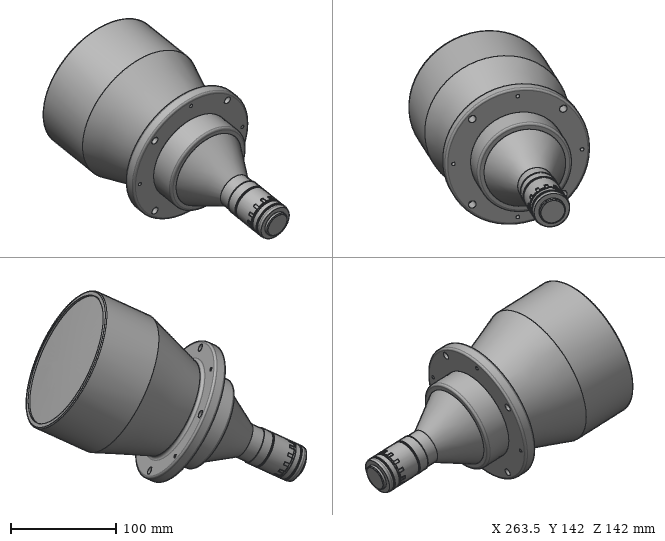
import cadquery as cq

total_length = 263.5

barrel_diameter = 142.0
barrel_radius = barrel_diameter / 2
barrel_length = 59.5
rim_chamfer = 1.0
shell_end = 119.5
shell_end_radius = 49.8

glass_radius = 66.2
glass_recess = 1.8
glass_rise = 1.5

flange_start = 123.0
flange_end = 135.5
flange_radius = barrel_radius
flange_edge_fillet = 2.0
flange_root_fillet = 3.0

bolt_circle_radius = 63.3
bolt_hole_diameter = 7.5
pin_hole_diameter = 3.5
holes_per_set = 4

hub_end = 161.3
hub_radius = 46.5
hub_edge_fillet = 2.5
rear_cone_radius = 40.0
rear_cone_end = 199.8

neck_radius = 17.5
tube_start = 212.2
tube_radius = 18.2
tube_taper_start = 257.5
tube_end = 260.2

mount_radius = 12.7
mount_chamfer_length = 0.8
mount_chamfer_drop = 1.0

grip_start = 241.0
grip_end = 246.2
grip_slot_width = 3.2
grip_slot_depth = 0.8
grip_slot_count = 12
grip_start_angle = 2.5

groove_depth = 0.8
groove_spans = [(222.2, 223.5), (grip_end, 248.0), (253.5, 255.0)]


def make_body():
    """Revolve the outer profile about the X axis."""
    neck_end = flange_start - flange_root_fillet
    profile = (
        cq.Workplane("XY")
        .moveTo(0, 0)
        .lineTo(0, barrel_radius - rim_chamfer)
        .lineTo(rim_chamfer, barrel_radius)
        .lineTo(barrel_length, barrel_radius)
        .lineTo(shell_end, shell_end_radius)
        .lineTo(neck_end, shell_end_radius)
        .radiusArc((flange_start, shell_end_radius + flange_root_fillet), -flange_root_fillet)
        .lineTo(flange_start, flange_radius - flange_edge_fillet)
        .radiusArc((flange_start + flange_edge_fillet, flange_radius), flange_edge_fillet)
        .lineTo(flange_end - flange_edge_fillet, flange_radius)
        .radiusArc((flange_end, flange_radius - flange_edge_fillet), flange_edge_fillet)
        .lineTo(flange_end, hub_radius)
        .lineTo(hub_end - hub_edge_fillet, hub_radius)
        .radiusArc((hub_end, hub_radius - hub_edge_fillet), hub_edge_fillet)
        .lineTo(hub_end, rear_cone_radius)
        .lineTo(rear_cone_end, neck_radius)
        .lineTo(tube_start, neck_radius)
        .lineTo(tube_start, tube_radius)
        .lineTo(tube_taper_start, tube_radius)
        .lineTo(tube_end, neck_radius)
        .lineTo(tube_end, mount_radius)
        .lineTo(total_length - mount_chamfer_length, mount_radius)
        .lineTo(total_length, mount_radius - mount_chamfer_drop)
        .lineTo(total_length, 0)
        .close()
    )
    return profile.revolve(360, (0, 0, 0), (1, 0, 0))


def make_glass_recess():
    """Shallow front pocket whose floor bulges forward in the middle."""
    dome_radius = (glass_radius**2 + glass_rise**2) / (2 * glass_rise)
    return (
        cq.Workplane("XY")
        .moveTo(0, 0)
        .lineTo(0, glass_radius)
        .lineTo(glass_recess, glass_radius)
        .radiusArc((glass_recess - glass_rise, 0), -dome_radius)
        .close()
        .revolve(360, (0, 0, 0), (1, 0, 0))
    )


def make_groove(start, end):
    """Ring that cuts one groove around the rear tube."""
    return (
        cq.Workplane("YZ", origin=(start, 0, 0))
        .circle(tube_radius + groove_depth)
        .circle(tube_radius - groove_depth)
        .extrude(end - start)
    )


def make_flange_holes(diameter, start_angle):
    """One set of through holes on the flange bolt circle."""
    return (
        cq.Workplane("YZ", origin=(flange_start, 0, 0))
        .polarArray(bolt_circle_radius, start_angle, 360, holes_per_set)
        .circle(diameter / 2)
        .extrude(flange_end - flange_start)
    )


def make_grip_slots():
    """Shallow slots along the rear tube that form a finger grip."""
    return (
        cq.Workplane("YZ", origin=(grip_start, 0, 0))
        .polarArray(tube_radius, grip_start_angle, 360, grip_slot_count)
        .rect(2 * grip_slot_depth, grip_slot_width)
        .extrude(grip_end - grip_start)
    )


result = make_body().cut(make_glass_recess())
for groove_start, groove_end in groove_spans:
    result = result.cut(make_groove(groove_start, groove_end))
result = result.cut(make_flange_holes(bolt_hole_diameter, 180 / holes_per_set))
result = result.cut(make_flange_holes(pin_hole_diameter, 0))
result = result.cut(make_grip_slots())